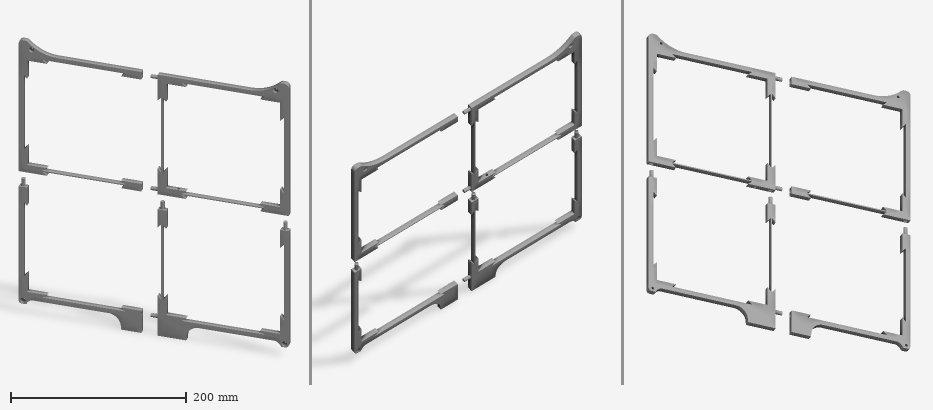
import cadquery as cq
import math

overall_width = 325.0
overall_height = 360.0
thickness = 6.5
beam = 10.0
window = 137.5
lower_top_z = 166.5
frame_gap = 19.8

recess_depth = 4.5
foot_tip = 24.0
foot_root = 19.0

peg_diameter = 4.5
bar_peg_length = 9.0
post_peg_length = 10.0
socket_diameter = 5.0
socket_depth = 10.8

screw_diameter = 3.4
screw_head_diameter = 6.5
screw_head_depth = 4.5
upper_screw_x = 15.5
upper_screw_z = 349.2
lower_screw_x = 5.0
lower_screw_z = 17.0

bar_hole_diameter = 3.4
bar_hole_inset = 24.0

corner_radius = 5.0
flare_radius = 50.0
flare_end_x = 46.5

lug_bottom_z = 12.5
lug_corner_radius = 4.0
lug_width = 9.0
lug_end_x = 16.0
lug_sag = 0.7
stand_width = 24.0
stand_radius = 15.0
stand_taper = 5.0

window_end_x = beam + window
window_mid_x = beam + window / 2
joined_width = window_end_x + beam
lower_bar_top_z = lower_top_z - window
lower_bar_bottom_z = lower_bar_top_z - beam
lower_mid_z = lower_top_z - window / 2
upper_bottom_z = lower_top_z + frame_gap
upper_window_z = upper_bottom_z + beam
upper_mid_z = upper_window_z + window / 2
upper_bar_bottom_z = upper_window_z + window
upper_bar_top_z = upper_bar_bottom_z + beam
inner_post_x = window_end_x + beam / 2


def plate(sketch):
    """Extrude an XZ outline to the frame thickness, centred on Y = 0."""
    return sketch.extrude(thickness / 2, both=True)


def box(x0, x1, z0, z1):
    """Full-thickness rectangular block between two X and two Z places."""
    return plate(cq.Workplane("XZ").moveTo(x0, z0).lineTo(x1, z0).lineTo(x1, z1).lineTo(x0, z1).close())


def recess_profile():
    """Dovetail corners as (position along the beam, depth below its face)."""
    mouth = window / 2 - foot_tip
    floor = window / 2 - foot_root
    return [(-mouth, 0), (mouth, 0), (floor, recess_depth), (-floor, recess_depth)]


def bar_recess(mid_x, face_z, into):
    """Recess in a horizontal bar; into is +1 or -1 along Z."""
    corners = [(mid_x + along, face_z + into * depth) for along, depth in recess_profile()]
    return plate(cq.Workplane("XZ").polyline(corners).close())


def post_recess(face_x, mid_z, into):
    """Recess in a vertical post; into is +1 or -1 along X."""
    corners = [(face_x + into * depth, mid_z + along) for along, depth in recess_profile()]
    return plate(cq.Workplane("XZ").polyline(corners).close())


def rod_x(x, z, diameter, length):
    """Round bar along X, for pegs and sockets."""
    return cq.Workplane("YZ", origin=(x, 0, z)).circle(diameter / 2).extrude(length)


def rod_z(x, z, diameter, length):
    """Round bar along Z, for pegs, sockets and the bar hole."""
    return cq.Workplane("XY", origin=(x, 0, z)).circle(diameter / 2).extrude(length)


def screw_hole(x, z):
    """Through hole with a counterbore on the -Y face."""
    front = cq.Workplane("XZ", origin=(x, -thickness / 2, z))
    shank = front.circle(screw_diameter / 2).extrude(-thickness)
    return shank.union(front.circle(screw_head_diameter / 2).extrude(-screw_head_depth))


def upper_blank(width):
    """Outline of an upper frame, with its flared outer corner at X = 0."""
    drop = overall_height - upper_bar_top_z
    turn = math.acos(1 - drop / (corner_radius + flare_radius))
    crest_end_x = flare_end_x - (corner_radius + flare_radius) * math.sin(turn)

    def crest(angle):
        return (
            crest_end_x + corner_radius * math.sin(angle),
            overall_height - corner_radius * (1 - math.cos(angle)),
        )

    def flare(angle):
        return (
            flare_end_x - flare_radius * math.sin(angle),
            upper_bar_top_z + flare_radius * (1 - math.cos(angle)),
        )

    corner_mid = corner_radius * (1 - math.sqrt(0.5))
    return plate(
        cq.Workplane("XZ")
        .moveTo(0, upper_bottom_z)
        .lineTo(width, upper_bottom_z)
        .lineTo(width, upper_bar_top_z)
        .lineTo(flare_end_x, upper_bar_top_z)
        .threePointArc(flare(turn / 2), flare(turn))
        .threePointArc(crest(turn / 2), crest(0))
        .lineTo(corner_radius, overall_height)
        .threePointArc((corner_mid, overall_height - corner_mid), (0, overall_height - corner_radius))
        .close()
    )


def lower_blank(width):
    """Outline of a lower frame, with its screw lug at X = 0 and its stand foot at the joint side."""
    taper = math.radians(stand_taper)
    stand_x = window_end_x - stand_width
    arc_z = lower_bar_bottom_z - stand_radius * (1 - math.sin(taper))
    arc_x = stand_x - arc_z * math.tan(taper)
    centre_x = arc_x - stand_radius * math.cos(taper)
    centre_z = lower_bar_bottom_z - stand_radius
    middle = (math.pi / 2 + taper) / 2
    arc_mid = (centre_x + stand_radius * math.cos(middle), centre_z + stand_radius * math.sin(middle))
    lug_mid = (
        (lug_width + lug_end_x) / 2 - lug_sag,
        (lug_bottom_z + lower_bar_bottom_z) / 2 + lug_sag,
    )
    corner_mid = lug_corner_radius * (1 - math.sqrt(0.5))
    return plate(
        cq.Workplane("XZ")
        .moveTo(0, lower_top_z)
        .lineTo(0, lug_bottom_z + lug_corner_radius)
        .threePointArc((corner_mid, lug_bottom_z + corner_mid), (lug_corner_radius, lug_bottom_z))
        .lineTo(lug_width, lug_bottom_z)
        .threePointArc(lug_mid, (lug_end_x, lower_bar_bottom_z))
        .lineTo(centre_x, lower_bar_bottom_z)
        .threePointArc(arc_mid, (arc_x, arc_z))
        .lineTo(stand_x, 0)
        .lineTo(width, 0)
        .lineTo(width, lower_top_z)
        .close()
    )


def inner_post_recesses(mid_z):
    """Recesses in both faces of the post at the joint side."""
    return post_recess(window_end_x, mid_z, 1).union(post_recess(joined_width, mid_z, -1))


def upper_frame(width):
    """Features that both upper frames share."""
    return (
        upper_blank(width)
        .cut(box(beam, window_end_x, upper_window_z, upper_bar_bottom_z))
        .cut(post_recess(beam, upper_mid_z, -1))
        .cut(bar_recess(window_mid_x, upper_bar_bottom_z, 1))
        .cut(bar_recess(window_mid_x, upper_window_z, -1))
        .cut(bar_recess(window_mid_x, upper_bottom_z, 1))
        .cut(screw_hole(upper_screw_x, upper_screw_z))
        .cut(rod_z(beam / 2, upper_bottom_z, socket_diameter, socket_depth))
    )


def lower_frame(width):
    """Features that both lower frames share."""
    return (
        lower_blank(width)
        .cut(box(beam, window_end_x, lower_bar_top_z, lower_top_z))
        .cut(post_recess(beam, lower_mid_z, -1))
        .cut(bar_recess(window_mid_x, lower_bar_top_z, -1))
        .cut(screw_hole(lower_screw_x, lower_screw_z))
        .union(rod_z(beam / 2, lower_top_z, peg_diameter, post_peg_length))
    )


def to_right_side(frame):
    """Mirror a left-handed frame to the right end of the assembly."""
    return frame.mirror("YZ").translate((overall_width, 0, 0))


upper_bar_axes = [upper_bottom_z + beam / 2, upper_bar_top_z - beam / 2]
lower_bar_axis = lower_bar_top_z - beam / 2


def upper_left_frame():
    frame = upper_frame(window_end_x)
    for z in upper_bar_axes:
        frame = frame.cut(rod_x(window_end_x, z, socket_diameter, -socket_depth))
    return frame


def upper_right_frame():
    frame = upper_frame(joined_width).cut(inner_post_recesses(upper_mid_z))
    frame = frame.cut(rod_z(inner_post_x, upper_bottom_z, socket_diameter, socket_depth))
    frame = frame.cut(rod_z(joined_width - bar_hole_inset, upper_bottom_z, bar_hole_diameter, beam))
    for z in upper_bar_axes:
        frame = frame.union(rod_x(joined_width, z, peg_diameter, bar_peg_length))
    return to_right_side(frame)


def lower_left_frame():
    return lower_frame(window_end_x).cut(rod_x(window_end_x, lower_bar_axis, socket_diameter, -socket_depth))


def lower_right_frame():
    frame = lower_frame(joined_width).cut(inner_post_recesses(lower_mid_z))
    frame = frame.union(rod_z(inner_post_x, lower_top_z, peg_diameter, post_peg_length))
    frame = frame.union(rod_x(joined_width, lower_bar_axis, peg_diameter, bar_peg_length))
    return to_right_side(frame)


result = cq.Compound.makeCompound(
    [
        upper_left_frame().val(),
        upper_right_frame().val(),
        lower_left_frame().val(),
        lower_right_frame().val(),
    ]
)